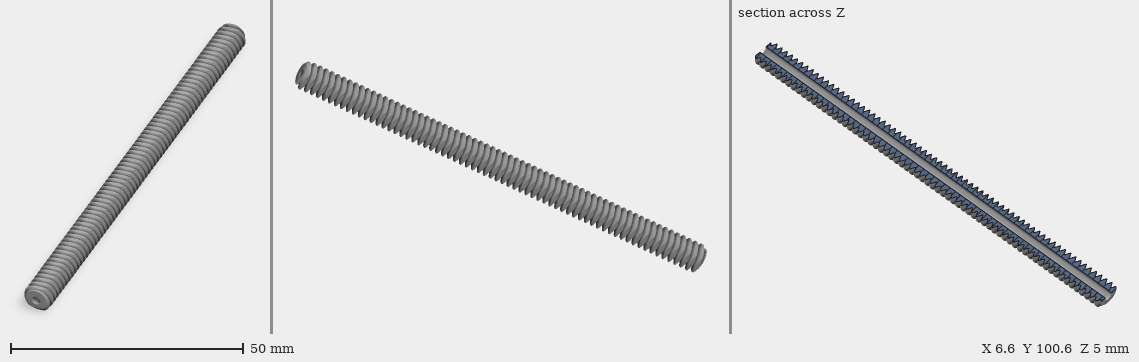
import cadquery as cq
import math

length = 100.6
crest_diameter = 6.6
height_over_flats = 5.0
bore_diameter = 2.0
turns = 67.1
end_diameter = 5.0
clearance = 0.2
crest_width = 0.02
root_width = 0.06
flank_angle = 28.0
first_crest = 0.38
spare_turns = 2
base_overlap = 0.02

pitch = length / turns
crest_radius = crest_diameter / 2
flank_width = (pitch - crest_width - root_width) / 2
flank_slope = math.tan(math.radians(flank_angle))
root_radius = crest_radius - flank_width / flank_slope


def thread_ridge():
    """Trapezoidal right-handed ridge wound about Z, running past both ends of the rod."""
    crest_half = crest_width / 2
    base_half = crest_half + flank_width + base_overlap * flank_slope
    base_radius = root_radius - base_overlap
    corners = [
        (base_radius, -base_half),
        (crest_radius, -crest_half),
        (crest_radius, crest_half),
        (base_radius, base_half),
    ]
    first_turn = -spare_turns
    end_turn = math.ceil(turns) + spare_turns
    faces = []
    for turn in range(first_turn, end_turn):
        turn_start = first_crest + turn * pitch
        edges = [
            cq.Wire.makeHelix(pitch, pitch, radius).translate(cq.Vector(0, 0, turn_start + offset))
            for radius, offset in corners
        ]
        for index, edge in enumerate(edges):
            faces += cq.Face.makeRuledSurface(edges[index - 1], edge).Faces()
    for turn in (first_turn, end_turn):
        cap_height = first_crest + turn * pitch
        points = [cq.Vector(radius, 0, cap_height + offset) for radius, offset in corners]
        faces.append(cq.Face.makeFromWires(cq.Wire.makePolygon(points, close=True)))
    return cq.Workplane(cq.Solid.makeSolid(cq.Shell.makeShell(faces)))


def trimming_body():
    """Chamfered cylinder with two flats, which the thread ridge is trimmed to."""
    outer_radius = crest_radius + clearance
    cylinder = cq.Workplane().circle(outer_radius).extrude(length)
    chamfered = cylinder.edges("%CIRCLE").chamfer(outer_radius - end_diameter / 2)
    flats = cq.Workplane().rect(2 * outer_radius, height_over_flats).extrude(length)
    return chamfered.intersect(flats)


core = cq.Workplane().circle(root_radius).circle(bore_diameter / 2).extrude(length)
rod = core.union(thread_ridge().intersect(trimming_body()))

result = rod.rotate((0, 0, 0), (1, 0, 0), -90).translate((0, -length / 2, 0))